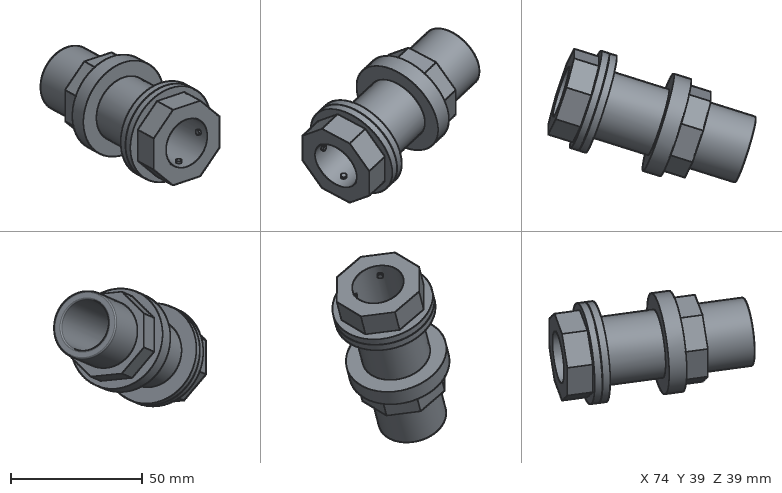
import cadquery as cq

total_length = 74.0
front_nut_start = 19.1
front_flange_start = 28.1
front_flange_end = 35.0
rear_flange_start = 58.0
rear_flange_end = 64.1

tube_diameter = 26.4
bore_diameter = 20.0
flange_diameter = 39.0
nut_sides = 8
nut_across_flats = 31.9
tube_end_rounding = 0.5

groove_diameter = 37.0
groove_width = 0.15

pin_count = 4
pin_diameter = 2.2
pin_tip_radius = 9.0
pin_root_radius = (bore_diameter + tube_diameter) / 4
pin_station = (rear_flange_end + total_length) / 2


def cylinder(start, end, diameter):
    """Round bar along X between two stations."""
    return cq.Workplane("YZ", origin=(start, 0, 0)).circle(diameter / 2).extrude(end - start)


def octagon_nut(start, end):
    """Regular octagon along X with flats facing Y and Z."""
    return (
        cq.Workplane("YZ", origin=(start, 0, 0))
        .polygon(nut_sides, nut_across_flats, circumscribed=True)
        .extrude(end - start)
    )


def inward_pin(angle):
    """Pin from inside the tube wall toward the axis, turned about X."""
    pin = (
        cq.Workplane("XY", origin=(pin_station, 0, pin_tip_radius))
        .circle(pin_diameter / 2)
        .extrude(pin_root_radius - pin_tip_radius)
    )
    return pin.rotate((0, 0, 0), (1, 0, 0), angle)


body = cylinder(0, total_length, tube_diameter).faces("<X").fillet(tube_end_rounding)
body = body.union(octagon_nut(front_nut_start, front_flange_start))
body = body.union(cylinder(front_flange_start, front_flange_end, flange_diameter))
body = body.union(cylinder(rear_flange_start, rear_flange_end, flange_diameter))
body = body.union(octagon_nut(rear_flange_end, total_length))

groove_start = (rear_flange_start + rear_flange_end - groove_width) / 2
groove_end = groove_start + groove_width
groove = cylinder(groove_start, groove_end, flange_diameter).cut(
    cylinder(groove_start, groove_end, groove_diameter)
)
body = body.cut(groove)

bore = cylinder(0, total_length, bore_diameter)
body = body.cut(bore)
mouth_edge = cq.selectors.RadiusNthSelector(0)
body = body.faces("<X").edges(mouth_edge).fillet(tube_end_rounding)

for index in range(pin_count):
    body = body.union(inward_pin(index * 360 / pin_count))

result = body